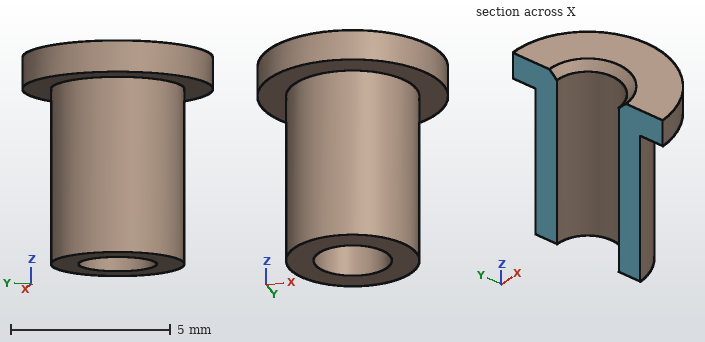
import cadquery as cq

total_height = 6.6
flange_diameter = 6.0
flange_thickness = 1.0
barrel_diameter = 4.2
bore_diameter = 2.46
bore_chamfer = 0.3

barrel_height = total_height - flange_thickness
barrel = cq.Workplane("XY").circle(barrel_diameter / 2).extrude(barrel_height)

bushing = barrel.faces(">Z").workplane().circle(flange_diameter / 2).extrude(flange_thickness)

bushing = bushing.faces(">Z").workplane().hole(bore_diameter)

bore_mouth = cq.selectors.RadiusNthSelector(0)
result = bushing.faces(">Z").edges(bore_mouth).chamfer(bore_chamfer)